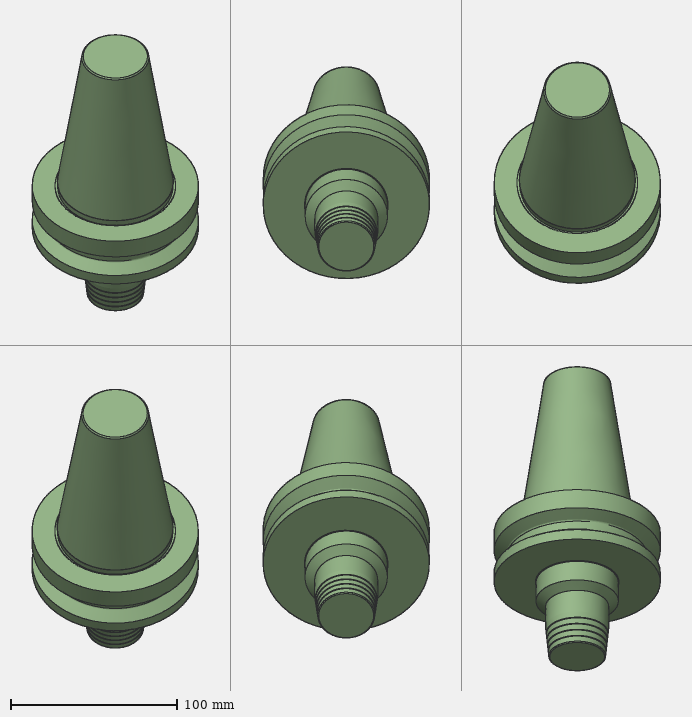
import cadquery as cq
import math

total_height = 191.8
flange_bottom = 52.4
flange_top = 87.0
gauge_height = 90.0

gauge_radius = 35.0
taper_ratio = 7 / 24
half_taper = taper_ratio / 2
taper_end_radius = gauge_radius - half_taper * (total_height - gauge_height)
taper_end_chamfer = 0.8

neck_radius = 34.7
relief_radius = 36.3
relief_depth = 1.0

flange_diameter = 100.0
flange_radius = flange_diameter / 2
groove_floor_diameter = 85.0
groove_floor_radius = groove_floor_diameter / 2
groove_center = 66.7
groove_mouth_width = 15.2
groove_flank_angle = 30.0
groove_depth = flange_radius - groove_floor_radius
groove_rise = groove_depth * math.tan(math.radians(groove_flank_angle))
groove_floor_width = groove_mouth_width - 2 * groove_rise
groove_fillet = 1.0

collar_radius = 24.7
collar_bottom = 39.0
collar_root_chamfer = 0.4
pilot_radius = 19.0
pilot_top = 35.1

tip_top = 20.1
tip_end_radius = 17.0
tip_chamfer = 0.5
ring_count = 4
ring_pitch = 4.0
first_ring_height = 4.2
ring_width = 0.4
ring_depth = 0.2


def tip_radius_at(height):
    """Radius of the tapered tip at a height above its end."""
    return tip_end_radius + (pilot_radius - tip_end_radius) * height / tip_top


def holder_body():
    """Solid of revolution of the whole holder without the tip rings."""
    return (
        cq.Workplane("XZ")
        .moveTo(0, 0)
        .lineTo(tip_end_radius - tip_chamfer, 0)
        .lineTo(tip_radius_at(tip_chamfer), tip_chamfer)
        .lineTo(pilot_radius, tip_top)
        .lineTo(pilot_radius, pilot_top)
        .lineTo(collar_radius, collar_bottom)
        .lineTo(collar_radius, flange_bottom - collar_root_chamfer)
        .lineTo(collar_radius + collar_root_chamfer, flange_bottom)
        .lineTo(flange_radius, flange_bottom)
        .lineTo(flange_radius, groove_center - groove_mouth_width / 2)
        .lineTo(groove_floor_radius, groove_center - groove_floor_width / 2)
        .lineTo(groove_floor_radius, groove_center + groove_floor_width / 2)
        .lineTo(flange_radius, groove_center + groove_mouth_width / 2)
        .lineTo(flange_radius, flange_top)
        .lineTo(relief_radius, flange_top)
        .lineTo(relief_radius, flange_top - relief_depth)
        .lineTo(neck_radius, flange_top - relief_depth)
        .lineTo(neck_radius, gauge_height)
        .lineTo(gauge_radius, gauge_height)
        .lineTo(taper_end_radius + half_taper * taper_end_chamfer, total_height - taper_end_chamfer)
        .lineTo(taper_end_radius - taper_end_chamfer, total_height)
        .lineTo(0, total_height)
        .close()
        .revolve(360, (0, 0, 0), (0, 1, 0))
    )


def groove_floor_edges(body):
    """The two circular edges where the gripper groove floor meets its flanks."""
    half_height = groove_floor_width / 2 + groove_fillet
    outer_radius = groove_floor_radius + groove_fillet
    return body.edges(
        cq.selectors.BoxSelector(
            (-outer_radius, -outer_radius, groove_center - half_height),
            (outer_radius, outer_radius, groove_center + half_height),
            boundingbox=True,
        )
    )


def tip_ring(height):
    """Ring-shaped cutter for one shallow groove centred at a height on the tip."""
    floor_radius = tip_radius_at(height) - ring_depth
    return (
        cq.Workplane("XY", origin=(0, 0, height - ring_width / 2))
        .circle(pilot_radius)
        .circle(floor_radius)
        .extrude(ring_width)
    )


body = holder_body()
result = groove_floor_edges(body).fillet(groove_fillet)
for ring_index in range(ring_count):
    result = result.cut(tip_ring(first_ring_height + ring_index * ring_pitch))